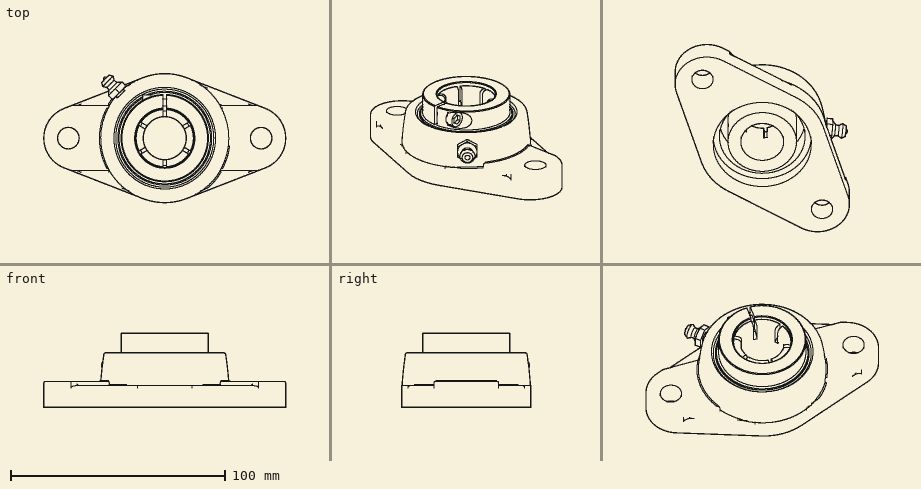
import cadquery as cq
import math


flange_length = 113.0
flange_half_width = 30.2
side_radius = 27.6
side_center = flange_half_width - side_radius
ear_radius = 14.9
ear_center = flange_length / 2 - ear_radius
ear_top = 12.2
ear_half_width = 15.1
rounding_start_x = 12.7
web_top = 10.2
bolt_spacing = 90.0
bolt_hole_diameter = 10.0
edge_fillet = 1.0
foot_fillet = 0.8

boss_top = 25.5
boss_base_radius = 30.1
boss_mid_radius = 29.4
boss_top_radius = 28.4
web_foot_radius = 30.0
ear_foot_radius = 29.7
boss_fillet = 0.9
mouth_radius = 23.7

sphere_radius = 48.9 / 2
ring_end_radius = 45.8 / 2
ring_half_width = math.sqrt(sphere_radius**2 - ring_end_radius**2)
ring_top = 24.5
ring_center = ring_top - ring_half_width
ring_bottom = ring_center - ring_half_width
ring_bore_radius = 40.0 / 2
ring_edge_chamfer = 0.6
seal_seat = 22.0

seal_radius = 21.4
seal_top = 24.9

bore_radius = 20.0 / 2
inner_ring_radius = 32.0 / 2
neck_radius = 13.7
neck_chamfer = 0.3
inner_ring_top = 33.0
inner_ring_bottom = 2.3
bore_fillet = 1.9
slot_width = 1.7
slot_count = 6
slot_floor = 25.3
slot_slope_radius = 12.7
slot_slope_drop = 2.5

collar_radius = 40.8 / 2
collar_top = 34.8
collar_height = 9.5
collar_bottom = collar_top - collar_height
collar_chamfer = 0.4

screw_y = 16.7
screw_z = collar_bottom + collar_height / 2
screw_seat_x = -6.4
screw_end_x = 7.3
screw_diameter = 3.3
screw_head_diameter = 7.0
screw_head_height = 3.8
screw_recess_diameter = 8.0
socket_width = 4.0
socket_depth = 1.7

nipple_angle = 135
nipple_z = 19.5
stem_start = 26.0
hex_start = 30.0
hex_end = 32.7
cone_end = 34.1
neck_end = 35.0
knob_start = 35.8
knob_peak = 37.5
knob_end = 39.2
nipple_hex_width = 9.0
cone_base_radius = nipple_hex_width / 2
cone_tip_radius = 2.7
stem_radius = 5.0 / 2
knob_peak_radius = 7.0 / 2
ball_radius = 1.2
ball_center = 38.8


def disc(radius, bottom, top):
    """A cylinder on the shaft axis."""
    return cq.Workplane("XY").workplane(offset=bottom).circle(radius).extrude(top - bottom)


def hexagon_size(width):
    """Corner-to-corner size of a hexagon with this width across flats."""
    return width / math.cos(math.pi / 6)


def tangent_normal():
    """Unit normal of the straight side that touches the side arc and the ear arc."""
    distance = math.hypot(ear_center, side_center)
    angle = math.acos((side_radius - ear_radius) / distance) - math.atan2(side_center, ear_center)
    return math.cos(angle), math.sin(angle)


def flange_plate(height, inset=0):
    """Plate with a round ear at each end, cut off flat across the middle under the boss."""
    normal_x, normal_y = tangent_normal()
    side_x = side_radius * normal_x
    side_y = side_center + side_radius * normal_y
    ear_x = ear_center + ear_radius * normal_x
    ear_y = ear_radius * normal_y
    tip_x = flange_length / 2
    outline = (
        cq.Workplane("XY")
        .moveTo(side_x, side_y)
        .lineTo(ear_x, ear_y)
        .threePointArc((tip_x, 0), (ear_x, -ear_y))
        .lineTo(side_x, -side_y)
        .lineTo(-side_x, -side_y)
        .lineTo(-ear_x, -ear_y)
        .threePointArc((-tip_x, 0), (-ear_x, ear_y))
        .lineTo(-side_x, side_y)
        .close()
    )
    if inset:
        outline = outline.offset2D(-inset)
    return outline.extrude(height)


def flange_middle():
    """Middle of the flange with its two side arcs, square-edged at the top."""
    normal_x, normal_y = tangent_normal()
    side_x = side_radius * normal_x
    side_y = side_center + side_radius * normal_y
    start_x = rounding_start_x
    start_y = side_y - (start_x - side_x) * normal_x / normal_y
    return (
        cq.Workplane("XY")
        .moveTo(start_x, start_y)
        .lineTo(start_x, -start_y)
        .lineTo(side_x, -side_y)
        .threePointArc((0, -flange_half_width), (-side_x, -side_y))
        .lineTo(-start_x, -start_y)
        .lineTo(-start_x, start_y)
        .lineTo(-side_x, side_y)
        .threePointArc((0, flange_half_width), (side_x, side_y))
        .close()
        .extrude(web_top)
    )


def rounded_plate(height):
    """The flange plate with its top edge rounded."""
    return flange_plate(height).faces(">Z").edges().fillet(edge_fillet)


def ear_bar():
    """Bar along X that gives both ears their width, with rounded top edges."""
    bar = cq.Workplane("YZ").rect(2 * ear_half_width, 2 * ear_top).extrude(flange_length / 2, both=True)
    return bar.edges("|X and >Z").fillet(edge_fillet)


def ear_foot():
    """Bar along X whose sides are the fillets between the ears and the web."""
    foot_y = ear_half_width + foot_fillet
    foot_z = web_top + foot_fillet
    foot_arc = foot_fillet * math.sqrt(0.5)
    return (
        cq.Workplane("YZ")
        .moveTo(-foot_y, web_top)
        .lineTo(foot_y, web_top)
        .threePointArc((foot_y - foot_arc, foot_z - foot_arc), (ear_half_width, foot_z))
        .lineTo(-ear_half_width, foot_z)
        .threePointArc((foot_arc - foot_y, foot_z - foot_arc), (-foot_y, web_top))
        .close()
        .extrude(flange_length / 2, both=True)
    )


def boss_foot(root_radius, level):
    """Ring that fillets the boss into the flat surface at this level."""
    center_x = root_radius + foot_fillet
    center_z = level + foot_fillet
    foot_arc = foot_fillet * math.sqrt(0.5)
    return (
        cq.Workplane("XZ")
        .moveTo(mouth_radius, level)
        .lineTo(center_x, level)
        .threePointArc((center_x - foot_arc, center_z - foot_arc), (root_radius, center_z))
        .lineTo(mouth_radius, center_z)
        .close()
        .revolve(360, (0, 0), (0, 1))
    )


def boss():
    """Bulged, drafted boss around the bearing, with a rounded top edge."""
    return (
        cq.Workplane("XZ")
        .moveTo(0, web_top)
        .lineTo(boss_base_radius, web_top)
        .threePointArc((boss_mid_radius, (web_top + boss_top) / 2), (boss_top_radius, boss_top))
        .lineTo(0, boss_top)
        .close()
        .revolve(360, (0, 0), (0, 1))
        .faces(">Z")
        .edges()
        .fillet(boss_fillet)
    )


def seat_space():
    """Space for the bearing: tapered mouth, spherical seat and plain bore below."""
    return (
        cq.Workplane("XZ")
        .lineTo(ring_end_radius, 0)
        .lineTo(ring_end_radius, ring_bottom)
        .threePointArc((sphere_radius, ring_center), (ring_end_radius, ring_top))
        .lineTo(mouth_radius, boss_top)
        .lineTo(0, boss_top)
        .close()
        .revolve(360, (0, 0), (0, 1))
    )


def nipple_plane():
    """Plane on the shaft axis facing along the nipple, its local y axis along Z."""
    angle = math.radians(nipple_angle)
    outward = (math.cos(angle), math.sin(angle), 0)
    sideways = (-math.sin(angle), math.cos(angle), 0)
    return cq.Plane(origin=(0, 0, nipple_z), xDir=sideways, normal=outward)


def nipple_rod(radius, start, end):
    """A cylinder on the nipple axis."""
    return cq.Workplane(nipple_plane()).workplane(offset=start).circle(radius).extrude(end - start)


def make_housing():
    ears = rounded_plate(ear_top).intersect(ear_bar())
    body = rounded_plate(web_top).union(ears).union(flange_middle()).union(boss())
    web_flat = flange_plate(ear_top, inset=edge_fillet)
    body = body.union(ear_foot().intersect(web_flat))
    body = body.union(boss_foot(web_foot_radius, web_top).intersect(web_flat))
    ear_flat = cq.Workplane("XY").box(flange_length, 2 * (ear_half_width - edge_fillet), 2 * boss_top)
    body = body.union(boss_foot(ear_foot_radius, ear_top).intersect(ear_flat))
    body = body.cut(seat_space())
    bolt_holes = (
        cq.Workplane("XY")
        .pushPoints([(-bolt_spacing / 2, 0), (bolt_spacing / 2, 0)])
        .circle(bolt_hole_diameter / 2)
        .extrude(ear_top)
    )
    return body.cut(bolt_holes).cut(nipple_rod(stem_radius, stem_start, hex_start))


def make_outer_ring():
    return (
        cq.Workplane("XZ")
        .moveTo(ring_bore_radius, ring_bottom)
        .lineTo(ring_end_radius, ring_bottom)
        .threePointArc((sphere_radius, ring_center), (ring_end_radius, ring_top))
        .lineTo(seal_radius + ring_edge_chamfer, ring_top)
        .lineTo(seal_radius, ring_top - ring_edge_chamfer)
        .lineTo(seal_radius, seal_seat)
        .lineTo(ring_bore_radius, seal_seat)
        .close()
        .revolve(360, (0, 0), (0, 1))
    )


def make_seal():
    return disc(seal_radius, seal_seat, seal_top).cut(disc(inner_ring_radius, seal_seat, seal_top))


def slot_cutter():
    """One radial slot along +X, its floor sloping down towards the bore."""
    return (
        cq.Workplane("XZ")
        .moveTo(0, inner_ring_top)
        .lineTo(0, slot_floor - slot_slope_drop)
        .lineTo(bore_radius, slot_floor - slot_slope_drop)
        .lineTo(slot_slope_radius, slot_floor)
        .lineTo(collar_radius, slot_floor)
        .lineTo(collar_radius, inner_ring_top)
        .close()
        .extrude(slot_width / 2, both=True)
    )


def make_inner_ring():
    neck = disc(neck_radius, collar_bottom, inner_ring_top).faces(">Z").edges().chamfer(neck_chamfer)
    ring = disc(inner_ring_radius, inner_ring_bottom, collar_bottom).union(neck)
    ring = ring.cut(disc(bore_radius, inner_ring_bottom, inner_ring_top))
    ring = ring.faces(">Z").edges(cq.selectors.RadiusNthSelector(0)).fillet(bore_fillet)
    cutter = slot_cutter()
    for i in range(slot_count):
        angle = 90 + i * 360 / slot_count
        ring = ring.cut(cutter.rotate((0, 0, 0), (0, 0, 1), angle))
    return ring


def screw_rod(diameter, start, end):
    """A cylinder on the clamp screw axis."""
    return (
        cq.Workplane("YZ", origin=(start, 0, 0))
        .center(screw_y, screw_z)
        .circle(diameter / 2)
        .extrude(end - start)
    )


def make_collar():
    collar = disc(collar_radius, collar_bottom, collar_top)
    collar = collar.cut(disc(neck_radius, collar_bottom, collar_top))
    collar = collar.faces(">Z").edges().chamfer(collar_chamfer)
    split = cq.Workplane("XY", origin=(0, 0, collar_bottom)).center(0, collar_radius / 2)
    split = split.rect(slot_width, collar_radius).extrude(collar_height)
    collar = collar.cut(split)
    collar = collar.cut(screw_rod(screw_diameter, screw_seat_x, screw_end_x))
    return collar.cut(screw_rod(screw_recess_diameter, -collar_radius, screw_seat_x))


def make_screw():
    head_x = screw_seat_x - screw_head_height
    screw = screw_rod(screw_head_diameter, head_x, screw_seat_x)
    screw = screw.union(screw_rod(screw_diameter, screw_seat_x, screw_end_x))
    socket = (
        cq.Workplane("YZ", origin=(head_x, 0, 0))
        .center(screw_y, screw_z)
        .transformed(rotate=(0, 0, 90))
        .polygon(6, hexagon_size(socket_width))
        .extrude(socket_depth)
    )
    return screw.cut(socket)


def make_ball():
    return cq.Workplane(nipple_plane()).workplane(offset=ball_center).sphere(ball_radius)


def make_nipple():
    across = nipple_plane()
    turned = (
        cq.Workplane(cq.Plane(origin=(0, 0, nipple_z), xDir=across.zDir, normal=across.xDir))
        .moveTo(stem_start, 0)
        .lineTo(stem_start, stem_radius)
        .lineTo(hex_end, stem_radius)
        .lineTo(hex_end, cone_base_radius)
        .lineTo(cone_end, cone_tip_radius)
        .lineTo(neck_end, stem_radius)
        .lineTo(knob_start, stem_radius)
        .lineTo(knob_peak, knob_peak_radius)
        .lineTo(knob_end, stem_radius)
        .lineTo(knob_end, 0)
        .close()
        .revolve(360, (0, 0), (1, 0))
    )
    nut = (
        cq.Workplane(across)
        .workplane(offset=hex_start)
        .transformed(rotate=(0, 0, 90))
        .polygon(6, hexagon_size(nipple_hex_width))
        .extrude(hex_end - hex_start)
    )
    return turned.union(nut).cut(make_ball())


housing = make_housing()
outer_ring = make_outer_ring()
seal = make_seal()
inner_ring = make_inner_ring()
collar = make_collar()
screw = make_screw()
nipple = make_nipple()
ball = make_ball()

result = cq.Compound.makeCompound([
    housing.val(),
    outer_ring.val(),
    seal.val(),
    inner_ring.val(),
    collar.val(),
    screw.val(),
    nipple.val(),
    ball.val(),
])